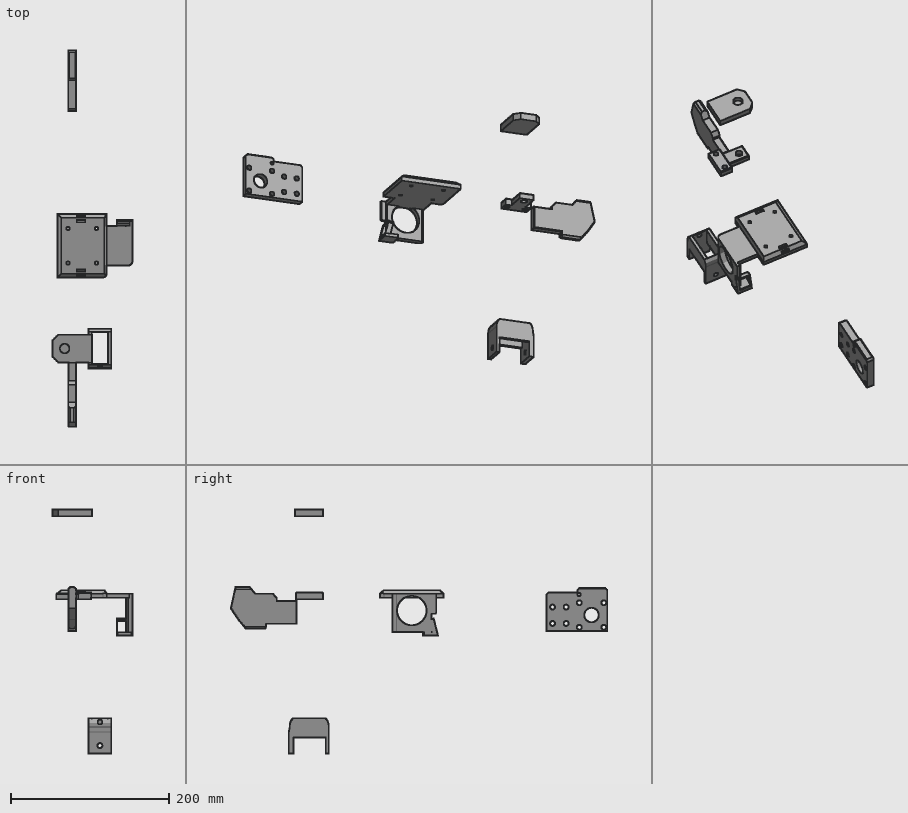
import cadquery as cq
import math

LAYOUT_X, LAYOUT_Y, LAYOUT_Z = 101.26, 476.34, 308.8


def box(x0, x1, y0, y1, z0, z1):
    """Axis-aligned block between two corners."""
    return cq.Workplane("XY").box(x1 - x0, y1 - y0, z1 - z0, centered=False).translate((x0, y0, z0))


def rod_x(diameter, x0, x1, y, z):
    """Cylinder along X."""
    return cq.Workplane("YZ").center(y, z).circle(diameter / 2).extrude(x1 - x0).translate((x0, 0, 0))


def rod_y(diameter, y0, y1, x, z):
    """Cylinder along Y."""
    return cq.Workplane("XZ").center(x, z).circle(diameter / 2).extrude(y0 - y1).translate((0, y0, 0))


def rod_z(diameter, z0, z1, x, y):
    """Cylinder along Z."""
    return cq.Workplane("XY").center(x, y).circle(diameter / 2).extrude(z1 - z0).translate((0, 0, z0))


MOTOR_PLATE_T = 10.0
MOTOR_PLATE_L = 77.0
MOTOR_PLATE_H = 49.0
RAISED_L = 38.0
RAISED_H = 54.5
PLATE_CORNER = 2.8
RAISED_BEVEL = 1.2
PILOT_D = 18.0
PILOT_Y, PILOT_Z = -20.0, 20.3
MOTOR_SCREW_D = 6.0
MOTOR_SCREW_PITCH = 31.0
SIDE_HOLE_PITCH_Y, SIDE_HOLE_PITCH_Z = 17.2, 20.7
SIDE_HOLE_Y, SIDE_HOLE_Z = -60.7, 20.0
TOP_HOLE_D = 4.0
TOP_HOLE_Y, TOP_HOLE_Z = -35.6, 46.2
MOTOR_PLATE_AT = (-30.8, LAYOUT_Y / 2, 0.6)


def grid(pitch_a, pitch_b, centre_a=0.0, centre_b=0.0):
    """Four points of a rectangular hole pattern."""
    return [
        (centre_a + i * pitch_a / 2, centre_b + j * pitch_b / 2)
        for i in (-1, 1)
        for j in (-1, 1)
    ]


def make_motor_plate():
    c = PLATE_CORNER
    outline = [
        (0, 0),
        (-MOTOR_PLATE_L, 0),
        (-MOTOR_PLATE_L, MOTOR_PLATE_H - c),
        (-MOTOR_PLATE_L + c, MOTOR_PLATE_H),
        (-RAISED_L, MOTOR_PLATE_H),
        (-RAISED_L, RAISED_H - c),
        (-RAISED_L + c, RAISED_H),
        (-c, RAISED_H),
        (0, RAISED_H - c),
    ]
    plate = cq.Workplane("YZ").polyline(outline).close().extrude(MOTOR_PLATE_T)
    plate = plate.faces(">Z").edges("|Y").chamfer(RAISED_BEVEL)
    screws = grid(MOTOR_SCREW_PITCH, MOTOR_SCREW_PITCH, PILOT_Y, PILOT_Z)
    screws += grid(SIDE_HOLE_PITCH_Y, SIDE_HOLE_PITCH_Z, SIDE_HOLE_Y, SIDE_HOLE_Z)
    holes = [(PILOT_D, PILOT_Y, PILOT_Z), (TOP_HOLE_D, TOP_HOLE_Y, TOP_HOLE_Z)]
    holes += [(MOTOR_SCREW_D, y, z) for y, z in screws]
    for diameter, y, z in holes:
        plate = plate.cut(rod_x(diameter, 0, MOTOR_PLATE_T, y, z))
    return plate.translate(MOTOR_PLATE_AT)


MOUNT_L, MOUNT_W = 62.5, 80.5
STRIP_T = 5.6
MOUNT_H = 10.0
BEVEL_LEFT, BEVEL_RIGHT, BEVEL_ENDS = 5.3, 3.0, 5.0
MOUNT_CORNER_R = 5.0
MOUNT_HOLE_D = 4.0
MOUNT_HOLE_PITCH_X, MOUNT_HOLE_PITCH_Y = 36.0, 44.0
MOUNT_HOLE_X = 31.6
TIE_W = 10.5
TIE_X = 30.2
TIE_OUTER_D, TIE_INNER_D = 10.0, 5.0
TIE_DROP = 2.0
TIE_INSET = 0.7

WALL_T, WALL_W = 8.4, 50.0
WALL_OUTER_X = 95.2
WALL_BOTTOM = -43.3
WALL_INNER_BEVEL = 2.8
WALL_OUTER_R = 5.5
WALL_HOLE_D = 37.04
WALL_HOLE_Z = -15.9

FLANGE_T, FLANGE_REACH, FLANGE_BOTTOM = 3.8, 6.0, -20.2
FLANGE_CORNER = 1.5

LOOP_W = 20.0
LOOP_TILT = 14.0
LOOP_DEPTH = 6.8
LOOP_TOP_T, LOOP_SIDE_T = 1.8, 0.8
LOOP_TOP_Z = -25.9
LOOP_TOP_Y = 27.8
FOOT_T, FOOT_Y0, FOOT_Y1 = 4.2, 14.0, 31.0
FOOT_CORNER = 1.5
MOUNT_AT = (LAYOUT_X / 2 - WALL_OUTER_X, -9.1, 42.5)


def make_mount_plate():
    half = MOUNT_W / 2
    slab = box(0, MOUNT_L, -half, half, 0, MOUNT_H)
    slab = slab.edges("|Z and >X and <Y").fillet(MOUNT_CORNER_R)
    top_l = MOUNT_L - BEVEL_LEFT - BEVEL_RIGHT
    top_x = BEVEL_LEFT + top_l / 2
    bevelled = (
        cq.Workplane("XY", origin=(MOUNT_L / 2, 0, STRIP_T))
        .rect(MOUNT_L, MOUNT_W)
        .workplane(offset=MOUNT_H - STRIP_T)
        .center(top_x - MOUNT_L / 2, 0)
        .rect(top_l, MOUNT_W - 2 * BEVEL_ENDS)
        .loft(ruled=True)
    )
    slab = slab.intersect(bevelled.union(box(0, MOUNT_L, -half, half, 0, STRIP_T)))
    for x, y in grid(MOUNT_HOLE_PITCH_X, MOUNT_HOLE_PITCH_Y, MOUNT_HOLE_X):
        slab = slab.cut(rod_z(MOUNT_HOLE_D, 0, MOUNT_H, x, y))
    return slab


def make_tie_channels():
    """Curved cable-tie tunnels around the two end bevel edges."""
    x0, x1 = TIE_X - TIE_W / 2, TIE_X + TIE_W / 2
    channels = cq.Workplane("XY")
    for side in (-1, 1):
        y = side * (MOUNT_W / 2 - BEVEL_ENDS - TIE_INSET)
        z = MOUNT_H - TIE_DROP
        outer = rod_x(TIE_OUTER_D, x0, x1, y, z)
        channels = channels.add(outer.cut(rod_x(TIE_INNER_D, x0, x1, y, z)))
    return channels


def make_wall():
    half = WALL_W / 2
    x0 = WALL_OUTER_X - WALL_T
    wall = box(x0, WALL_OUTER_X, -half, half, WALL_BOTTOM, STRIP_T)
    wall = wall.edges("|Z and <Y and <X").chamfer(WALL_INNER_BEVEL)
    wall = wall.edges("|Z and <Y and >X").fillet(WALL_OUTER_R)
    wall = wall.cut(rod_x(WALL_HOLE_D, x0, WALL_OUTER_X, 0, WALL_HOLE_Z))
    strip = box(MOUNT_L - BEVEL_RIGHT, x0 + WALL_T / 2, -half, half, 0, STRIP_T)
    flange = box(WALL_OUTER_X - FLANGE_T, WALL_OUTER_X, half, half + FLANGE_REACH, FLANGE_BOTTOM, STRIP_T)
    flange = flange.edges("|X and <Z and >Y").chamfer(FLANGE_CORNER)
    return wall.union(strip).union(flange)


def make_loop():
    """Tilted open loop on a flat foot below the wall."""
    x0 = WALL_OUTER_X - LOOP_W
    foot_bottom = WALL_BOTTOM - FOOT_T
    height = (LOOP_TOP_Z - foot_bottom) / math.cos(math.radians(LOOP_TILT))
    loop = box(x0, WALL_OUTER_X, -LOOP_DEPTH, 0, -height, 0)
    window = box(
        x0 + LOOP_SIDE_T,
        WALL_OUTER_X - FLANGE_T,
        -LOOP_DEPTH,
        0,
        FOOT_T - height,
        -LOOP_TOP_T,
    )
    loop = loop.cut(window).rotate((0, 0, 0), (1, 0, 0), LOOP_TILT)
    loop = loop.translate((0, LOOP_TOP_Y, LOOP_TOP_Z))
    loop = loop.intersect(box(x0, WALL_OUTER_X, 0, MOUNT_W, foot_bottom, 0))
    foot = box(x0, WALL_OUTER_X, FOOT_Y0, FOOT_Y1, foot_bottom, WALL_BOTTOM)
    foot = foot.edges("|Z and <Y").chamfer(FOOT_CORNER)
    return loop.union(foot)


def make_mount():
    mount = make_mount_plate().union(make_wall()).union(make_loop())
    for channel in make_tie_channels().vals():
        mount = mount.cut(cq.Workplane(channel))
    return mount.translate(MOUNT_AT)


HANDLE_T = 10.0
NECK_BOTTOM, NECK_TOP = 6.4, 35.4
NECK_L = 25.0
SHOULDER_Z, SHOULDER_TOP = 38.8, 44.6
SHOULDER_Y0, SHOULDER_Y1 = -30.0, -52.4
HEAD_TOP = 53.0
HEAD_Y0, HEAD_Y1 = -59.4, -77.3
NOSE_Y, NOSE_Z = -83.4, 26.0
CHIN_Y, CHIN_Z = -74.0, 12.0
HEAD_BASE_Y0, HEAD_BASE_Y1 = -39.5, -64.0
HEAD_STEP_Y, HEAD_STEP_Z = -38.5, 3.0
HEAD_BEVEL = 2.6
EDGE_BEVEL = 1.0
HANDLE_AT = (-30.8, -NOSE_Y - LAYOUT_Y / 2, 3.4)


def make_handle():
    outline = [
        (0, NECK_BOTTOM),
        (0, NECK_TOP),
        (-NECK_L, NECK_TOP),
        (-NECK_L, SHOULDER_Z),
        (SHOULDER_Y0, SHOULDER_TOP),
        (SHOULDER_Y1, SHOULDER_TOP),
        (HEAD_Y0, HEAD_TOP),
        (HEAD_Y1, HEAD_TOP),
        (NOSE_Y, NOSE_Z),
        (CHIN_Y, CHIN_Z),
        (HEAD_BASE_Y1, 0),
        (HEAD_BASE_Y0, 0),
        (HEAD_STEP_Y, HEAD_STEP_Z),
        (HEAD_STEP_Y, NECK_BOTTOM),
    ]
    handle = cq.Workplane("YZ").polyline(outline).close().extrude(HANDLE_T)
    neck = cq.selectors.BoxSelector((-1, HEAD_STEP_Y, NECK_BOTTOM - 1), (1, 1, NECK_TOP + 1))
    nose = cq.selectors.BoxSelector((-1, NOSE_Y, 1), (1, HEAD_BASE_Y1, HEAD_TOP - 1))
    handle = handle.faces("<X").edges(neck + nose).chamfer(EDGE_BEVEL)
    handle = handle.faces(">Z or <Z").edges("|Y").chamfer(HEAD_BEVEL)
    return handle.translate(HANDLE_AT)


CLAMP_L = 44.2
TONGUE_L, TONGUE_W, TONGUE_H = 28.0, 19.0, 7.5
BLOCK_W, BLOCK_H = 34.5, 8.7
CLAMP_BEVEL = 1.0
TONGUE_HOLE_D = 8.53
TONGUE_HOLE_X = 9.5
BLOCK_HOLE_D = 6.0
BLOCK_HOLE_PITCH = 24.0
CLAMP_AT = (-46.0, -138.6, 40.8)


def make_clamp():
    tongue = box(0, CLAMP_L, -TONGUE_W / 2, TONGUE_W / 2, 0, TONGUE_H)
    tongue = tongue.faces(">Z").edges("|X or <X").chamfer(CLAMP_BEVEL)
    block = box(TONGUE_L, CLAMP_L, -BLOCK_W / 2, BLOCK_W / 2, 0, BLOCK_H)
    block = block.faces(">Z").edges("|X or <X").chamfer(CLAMP_BEVEL)
    clamp = tongue.union(block)
    clamp = clamp.cut(rod_z(TONGUE_HOLE_D, 0, TONGUE_H, TONGUE_HOLE_X, 0))
    for side in (-1, 1):
        y = side * BLOCK_HOLE_PITCH / 2
        clamp = clamp.cut(rod_z(BLOCK_HOLE_D, 0, BLOCK_H, (TONGUE_L + CLAMP_L) / 2, y))
    return clamp.translate(CLAMP_AT)


TAB_L, TAB_W, TAB_T = 50.0, 35.5, 8.7
TAB_CORNER = 7.5
SOCKET_D, SOCKET_DEPTH = 12.0, 6.0
SOCKET_X = 15.4
TAB_AT = (-LAYOUT_X / 2, -139.1, LAYOUT_Z / 2 - TAB_T)


def make_tab():
    tab = box(0, TAB_L, -TAB_W / 2, TAB_W / 2, 0, TAB_T)
    tab = tab.edges("|Z and <X").chamfer(TAB_CORNER)
    tab = tab.cut(rod_z(SOCKET_D, TAB_T - SOCKET_DEPTH, TAB_T, SOCKET_X, 0))
    return tab.translate(TAB_AT)


HOUSING_L, HOUSING_W, HOUSING_H = 29.3, 49.6, 44.8
BACK_WALL_T, FRONT_WALL_T, SIDE_WALL_T = 4.2, 5.0, 4.6
LEG_H = 20.2
CROWN_INSET, CROWN_DROP = 4.0, 10.0
PAD_T, PAD_TOP, PAD_BEVEL_Z = 1.2, 33.2, 27.7
HOUSING_HOLE_D = 6.0
LEG_HOLE_Z, TOP_SCREW_Z = 10.2, 40.0
HOUSING_AT = (-5.3, -138.8, -LAYOUT_Z / 2)


def make_housing():
    half = HOUSING_W / 2
    crowned_half = (
        cq.Workplane("YZ")
        .lineTo(half, 0)
        .lineTo(half, HOUSING_H - CROWN_DROP)
        .tangentArcPoint((half - CROWN_INSET, HOUSING_H), relative=False)
        .lineTo(0, HOUSING_H)
        .close()
        .extrude(HOUSING_L)
    )
    pad_outline = [(-half, 0), (-half, PAD_TOP), (-half - PAD_T, PAD_BEVEL_Z), (-half - PAD_T, 0)]
    pad = cq.Workplane("YZ").polyline(pad_outline).close().extrude(HOUSING_L)
    housing = crowned_half.union(crowned_half.mirror("XZ")).union(pad)
    front, back = FRONT_WALL_T - half, half - BACK_WALL_T
    housing = housing.cut(box(SIDE_WALL_T, HOUSING_L - SIDE_WALL_T, front, back, 0, HOUSING_H))
    housing = housing.cut(box(0, HOUSING_L, front, back, 0, LEG_H))
    reach = half + PAD_T
    housing = housing.cut(rod_y(HOUSING_HOLE_D, -reach, reach, HOUSING_L / 2, LEG_HOLE_Z))
    housing = housing.cut(rod_y(HOUSING_HOLE_D, -reach, 0, HOUSING_L / 2, TOP_SCREW_Z))
    return housing.translate(HOUSING_AT)


motor_plate = make_motor_plate()
mount = make_mount()
handle = make_handle()
clamp = make_clamp()
tab = make_tab()
housing = make_housing()

result = cq.Compound.makeCompound(
    [motor_plate.val(), mount.val(), handle.val(), clamp.val(), tab.val(), housing.val()]
)